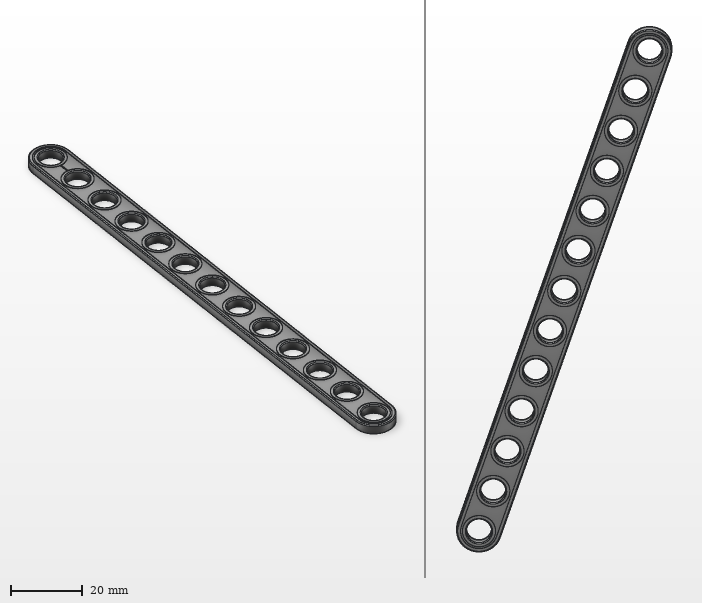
import cadquery as cq

length = 162.5
hole_count = 13
thickness = 3.1

pitch = length / hole_count
width = pitch

hole_diameter = 7.0
ring_diameter = 9.3
rim_width = 1.1
recess_depth = 0.15
edge_chamfer = 0.3

rib_width = 0.25
rib_overlap = 0.08

hole_points = [((index - (hole_count - 1) / 2) * pitch, 0) for index in range(hole_count)]


def make_bar():
    """Flat round-ended bar with through holes, all its edges chamfered at both faces."""
    mid_plane = cq.Workplane("XY")
    blank = mid_plane.slot2D(length, width).extrude(thickness / 2, both=True)
    holes = mid_plane.pushPoints(hole_points).circle(hole_diameter / 2).extrude(thickness / 2, both=True)
    return blank.cut(holes).faces("|Z").chamfer(edge_chamfer)


def make_recess(floor_z):
    """Pocket inside the rim, leaving a raised ring around every hole."""
    plane = cq.Workplane("XY").workplane(offset=floor_z)
    pocket = plane.slot2D(length - 2 * rim_width, width - 2 * rim_width).extrude(recess_depth)
    rings = plane.pushPoints(hole_points).circle(ring_diameter / 2).extrude(recess_depth)
    return pocket.cut(rings)


def make_rib(floor_z):
    """Straight rib standing on the recess floor between the first two rings."""
    first_gap_x = hole_points[0][0] + pitch / 2
    rib_length = pitch - ring_diameter + 2 * rib_overlap
    plane = cq.Workplane("XY").workplane(offset=floor_z)
    return plane.center(first_gap_x, 0).rect(rib_length, rib_width).extrude(recess_depth)


top_floor_z = thickness / 2 - recess_depth
top_recess = make_recess(top_floor_z).cut(make_rib(top_floor_z))
bottom_recess = make_recess(-thickness / 2)
result = make_bar().cut(top_recess).cut(bottom_recess)